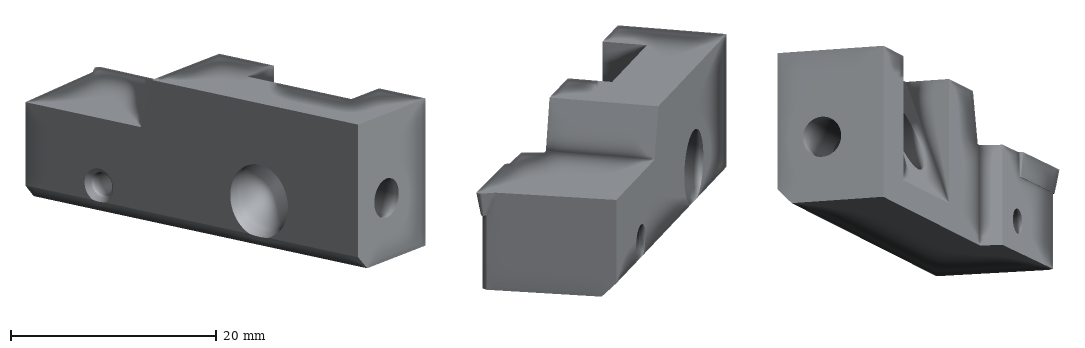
import cadquery as cq
import math

length = 42.0
height = 15.0
shank_width = 11.0
bottom_chamfer = 1.45

head_height = 9.95
head_front_x = 1.5
nose_chamfer_start = (0.67, 12.9)
nose_chamfer_end = (1.05, 13.45)
head_shoulder = (14.45, 13.2)
head_root_x = 14.95
step_bottom_x = 15.55
step_top_x = 16.9

overall_width = 13.85
insert_thickness = 2.4
inscribed_radius = 3.2
nose_radius = 0.4
bottom_nose_radius = 0.2
relief_angle = 9.0
insert_tilt = -0.8
insert_hole_diameter = 4.0

clamp_x = 29.95
clamp_entry_z = 5.0
clamp_diameter = 7.0
clamp_tilt = 20.0
seat_length = 12.75
seat_depth = 4.5

small_hole_x = 10.45
small_hole_z = 3.05
small_hole_diameter = 2.48
countersink_diameter = 3.5

rear_hole_diameter = 4.0
rear_hole_y = 4.6
rear_hole_z = 6.4


def make_block():
    """Plan outline extruded, then trimmed to the stepped side profile."""
    plan = [
        (head_front_x, 0),
        (length, 0),
        (length, shank_width),
        (head_root_x, shank_width),
        head_shoulder,
        nose_chamfer_end,
        nose_chamfer_start,
    ]
    side = [
        (0, 0),
        (length, 0),
        (length, height),
        (step_top_x, height),
        (step_bottom_x, head_height),
        (0, head_height),
    ]
    block = cq.Workplane("XY").polyline(plan).close().extrude(height)
    profile = cq.Workplane("XZ").polyline(side).close().extrude(-overall_width)
    chamfer = (
        cq.Workplane("YZ")
        .polyline([(0, 0), (bottom_chamfer, 0), (0, bottom_chamfer)])
        .close()
        .extrude(length)
    )
    return block.intersect(profile).cut(chamfer)


def make_clamp_seat():
    """Wedge whose sloping floor is square to the clamping hole."""
    runout = seat_depth / math.tan(math.radians(clamp_tilt))
    wedge = [
        (shank_width - seat_depth, height),
        (shank_width, height),
        (shank_width, height - runout),
    ]
    return (
        cq.Workplane("YZ", origin=(clamp_x - seat_length / 2, 0, 0))
        .polyline(wedge)
        .close()
        .extrude(seat_length)
    )


def make_clamp_hole():
    tilt = math.radians(clamp_tilt)
    axis = cq.Vector(0, math.cos(tilt), math.sin(tilt))
    entry = cq.Vector(clamp_x, 0, clamp_entry_z)
    return cq.Workplane(
        cq.Solid.makeCylinder(clamp_diameter / 2, 2 * length, entry - axis * length, axis)
    )


def make_small_hole():
    radius = small_hole_diameter / 2
    sink_radius = countersink_diameter / 2
    mouth = cq.Vector(small_hole_x, 0, small_hole_z)
    inward = cq.Vector(0, 1, 0)
    bore = cq.Solid.makeCylinder(radius, overall_width, mouth, inward)
    sink = cq.Solid.makeCone(sink_radius, radius, sink_radius - radius, mouth, inward)
    return cq.Workplane(bore).union(cq.Workplane(sink))


def make_rear_hole():
    return (
        cq.Workplane("YZ", origin=(clamp_x, rear_hole_y, rear_hole_z))
        .circle(rear_hole_diameter / 2)
        .extrude(length - clamp_x)
    )


def rounded_triangle(inner_radius, corner_radius, z):
    """Wire of an equilateral triangle with rounded corners, one corner on +X."""
    center_radius = 2 * (inner_radius - corner_radius)
    corners = [
        (center_radius * math.cos(angle), center_radius * math.sin(angle))
        for angle in (0, 2 * math.pi / 3, 4 * math.pi / 3)
    ]
    return (
        cq.Workplane("XY", origin=(0, 0, z))
        .polyline(corners)
        .close()
        .offset2D(corner_radius)
        .val()
    )


def make_insert():
    """Rounded triangle tapering downwards, with a central hole."""
    corner_circle = 2 * (inscribed_radius - nose_radius)
    left_corner = math.radians(150 + insert_tilt)
    center_x = nose_radius - corner_circle * math.cos(left_corner)
    center_y = overall_width - nose_radius - corner_circle * math.sin(left_corner)
    relief = insert_thickness * math.tan(math.radians(relief_angle))
    top = rounded_triangle(inscribed_radius, nose_radius, 0)
    bottom = rounded_triangle(inscribed_radius - relief, bottom_nose_radius, -insert_thickness)
    insert = (
        cq.Workplane(cq.Solid.makeLoft([bottom, top], True))
        .faces(">Z")
        .workplane(origin=(0, 0, 0))
        .circle(insert_hole_diameter / 2)
        .cutThruAll()
    )
    return insert.rotate((0, 0, 0), (0, 0, 1), 30 + insert_tilt).translate(
        (center_x, center_y, head_height)
    )


insert = make_insert()

holder = (
    make_block()
    .cut(make_clamp_seat())
    .cut(make_clamp_hole())
    .cut(make_small_hole())
    .cut(make_rear_hole())
    .cut(insert)
)

result = cq.Compound.makeCompound([holder.val(), insert.val()])